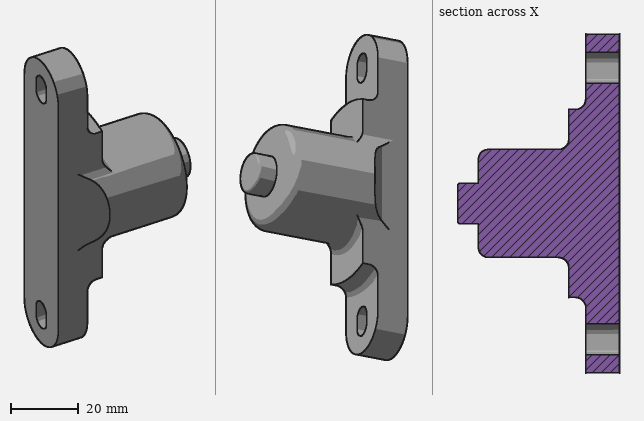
import cadquery as cq
import math

plate_length = 100.0
plate_width = 20.0
plate_thickness = 10.0

slot_length = 9.0
slot_width = 6.0
slot_spacing = 80.0

pad_radius = 27.8
pad_top = 15.0
base_fillet = 3.0

boss_radius = 16.0
boss_top = 41.7
boss_rim_fillet = 3.0
side_fillet = 5.0
underside_fillet = 10.0

pin_radius = 6.1
pin_top = 47.8
pin_rim_fillet = 0.9

half_width = plate_width / 2


def make_plate():
    plate = cq.Workplane("XZ").slot2D(plate_length, plate_width, 90).extrude(-plate_thickness)
    slots = (
        cq.Workplane("XZ")
        .pushPoints([(0, -slot_spacing / 2), (0, slot_spacing / 2)])
        .slot2D(slot_length, slot_width, 90)
        .extrude(-plate_thickness)
    )
    return plate.cut(slots)


def corner_middle(radius, depth, fillet):
    """Point (depth, radius) halfway along a quarter arc whose tangent lines meet at the given corner.

    A negative fillet gives a concave foot, a positive one a rounded rim.
    """
    inset = fillet * (1 - math.sqrt(0.5))
    return (depth - inset, radius - inset)


def revolve_about_y(profile):
    return profile.close().revolve(360, (0, 0, 0), (1, 0, 0))


def make_flared_base(bottom):
    """Pad with its fillet down to the plate and the flare up to the boss, as a revolved shape."""
    profile = (
        cq.Workplane("YZ")
        .moveTo(bottom, 0)
        .lineTo(bottom, pad_radius + base_fillet)
        .lineTo(plate_thickness, pad_radius + base_fillet)
        .threePointArc(
            corner_middle(pad_radius, plate_thickness, -base_fillet),
            (plate_thickness + base_fillet, pad_radius),
        )
        .lineTo(pad_top, pad_radius)
        .lineTo(pad_top, boss_radius + base_fillet)
        .threePointArc(
            corner_middle(boss_radius, pad_top, -base_fillet),
            (pad_top + base_fillet, boss_radius),
        )
        .lineTo(pad_top + base_fillet, 0)
    )
    return revolve_about_y(profile)


def make_base_outline():
    """Plate-wide strip whose sides swell in fillets to meet the boss wall, along the full depth in Y."""
    center_x = half_width + side_fillet
    center_distance = boss_radius + side_fillet
    center_z = math.sqrt(center_distance**2 - center_x**2)
    touch_x = center_x * boss_radius / center_distance
    touch_z = center_z * boss_radius / center_distance
    middle_angle = math.pi + math.atan2(center_z, center_x) / 2
    middle_x = center_x + side_fillet * math.cos(middle_angle)
    middle_z = center_z + side_fillet * math.sin(middle_angle)
    strip_end = plate_length / 2
    half = (
        cq.Workplane("XZ")
        .moveTo(0, -strip_end)
        .lineTo(half_width, -strip_end)
        .lineTo(half_width, -center_z)
        .threePointArc((middle_x, -middle_z), (touch_x, -touch_z))
        .lineTo(touch_x, touch_z)
        .threePointArc((middle_x, middle_z), (half_width, center_z))
        .lineTo(half_width, strip_end)
        .lineTo(0, strip_end)
    )
    return half.mirrorY().extrude(-pin_top)


def make_boss(bottom):
    """Boss and pin, both with rounded rims, as a revolved shape."""
    profile = (
        cq.Workplane("YZ")
        .moveTo(bottom, 0)
        .lineTo(bottom, boss_radius)
        .lineTo(boss_top - boss_rim_fillet, boss_radius)
        .threePointArc(
            corner_middle(boss_radius, boss_top, boss_rim_fillet),
            (boss_top, boss_radius - boss_rim_fillet),
        )
        .lineTo(boss_top, pin_radius)
        .lineTo(pin_top - pin_rim_fillet, pin_radius)
        .threePointArc(
            corner_middle(pin_radius, pin_top, pin_rim_fillet),
            (pin_top, pin_radius - pin_rim_fillet),
        )
        .lineTo(pin_top, 0)
    )
    return revolve_about_y(profile)


def make_underside_cutters(center_y):
    """Round bars along Z that hollow the underside of the boss on both sides of the plate."""
    center_x = half_width + underside_fillet
    return (
        cq.Workplane("XY", origin=(0, 0, -boss_radius))
        .pushPoints([(-center_x, center_y), (center_x, center_y)])
        .circle(underside_fillet)
        .extrude(2 * boss_radius)
    )


underside_start = pad_top - underside_fillet
flared_base = make_flared_base(underside_start).intersect(make_base_outline())
housing = flared_base.union(make_boss(underside_start))
housing = housing.cut(make_underside_cutters(underside_start))

result = make_plate().union(housing)